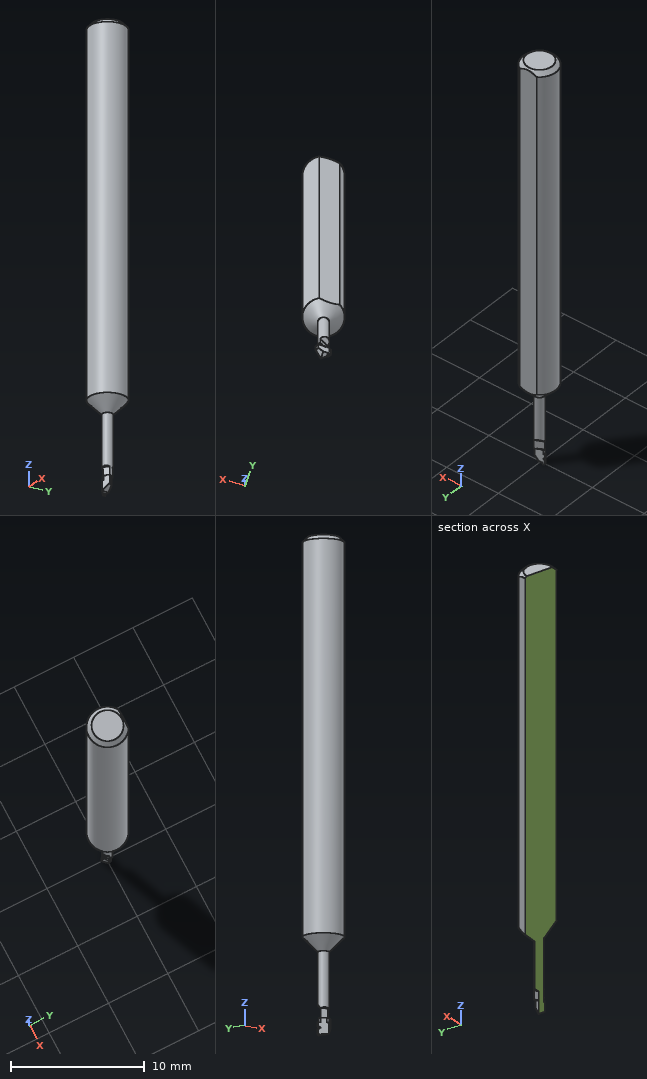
import cadquery as cq

total_length = 38.1
shank_diameter = 3.15
shank_depth = 2.95
shank_bottom = 7.6
top_chamfer = 0.4

neck_radius = 0.44
shank_radius = shank_diameter / 2
cone_bottom = shank_bottom - (shank_radius - neck_radius)

blade_flats = [(115, 0.08), (236, 0.35), (-48, 0.35)]
flat_top = 2.05
cutter_reach = 1.15

head_height = 1.35
head_overlap = 0.08
tooth_height = 1.0
head_reach = 0.57
ridge_x = 0.05
ridge_y = -0.55
back_y = 0.08
heel_z = 0.1
notch_z = 0.57
notch_half_height = 0.1


def make_shank():
    shank = cq.Workplane("XY").workplane(offset=shank_bottom).circle(shank_radius)
    shank = shank.extrude(total_length - shank_bottom).faces(">Z").chamfer(top_chamfer)
    cone = (
        cq.Workplane("XZ")
        .moveTo(0, cone_bottom)
        .lineTo(neck_radius, cone_bottom)
        .lineTo(shank_radius, shank_bottom)
        .lineTo(0, shank_bottom)
        .close()
        .revolve(360, (0, 0, 0), (0, 1, 0))
    )
    flat_y = shank_depth - shank_radius
    beyond_flat = (
        cq.Workplane("XY")
        .box(shank_diameter, shank_diameter, total_length, centered=(True, False, False))
        .translate((0, flat_y, 0))
    )
    return shank.union(cone).cut(beyond_flat)


def flat_cutter(direction, distance):
    """Grinding volume outside one flat, with a 45-degree run-out at the top."""
    profile = [
        (distance, 0),
        (cutter_reach, 0),
        (cutter_reach, flat_top + cutter_reach - distance),
        (distance, flat_top),
    ]
    cutter = cq.Workplane("XZ").polyline(profile).close().extrude(cutter_reach, both=True)
    return cutter.rotate((0, 0, 0), (0, 0, 1), direction)


def make_neck():
    neck_bottom = head_height - head_overlap
    neck = cq.Workplane("XY").workplane(offset=neck_bottom).circle(neck_radius)
    neck = neck.extrude(shank_bottom - neck_bottom)
    for direction, distance in blade_flats:
        neck = neck.cut(flat_cutter(direction, distance))
    return neck


def make_head():
    """Intersection of the head's plan, front and side outlines."""
    plan = [
        (ridge_x, ridge_y),
        (head_reach, -0.2),
        (neck_radius, back_y),
        (-head_reach, back_y),
        (-head_reach, -0.05),
    ]
    front = [
        (-neck_radius, head_height),
        (-neck_radius, tooth_height),
        (-head_reach, tooth_height),
        (-head_reach, notch_z + notch_half_height),
        (-neck_radius, notch_z),
        (-head_reach, notch_z - notch_half_height),
        (-head_reach, heel_z),
        (-neck_radius, 0),
        (-neck_radius + heel_z, heel_z),
        (ridge_x, heel_z),
        (head_reach, heel_z + head_reach - ridge_x),
        (head_reach, head_height),
    ]
    side = [
        (back_y, 0),
        (back_y, head_height),
        (-neck_radius, head_height),
        (-neck_radius, tooth_height),
        (ridge_y, tooth_height),
        (ridge_y, 0),
    ]
    head = cq.Workplane("XY").polyline(plan).close().extrude(head_height)
    front_prism = cq.Workplane("XZ").polyline(front).close().extrude(cutter_reach, both=True)
    side_prism = cq.Workplane("YZ").polyline(side).close().extrude(cutter_reach, both=True)
    return head.intersect(front_prism).intersect(side_prism)


result = make_shank().union(make_neck()).union(make_head())